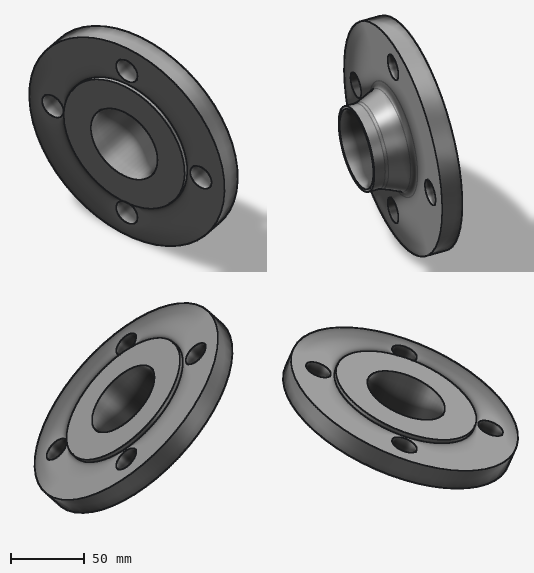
import cadquery as cq

flange_diameter = 165.0
raised_face_diameter = 102.0
raised_face_height = 3.0
flange_thickness = 18.0
total_length = 45.0

pipe_diameter = 60.3
bore_diameter = 56.3
weld_end_length = 9.0
hub_base_diameter = 75.0
hub_base_fillet = 5.0
hub_top_fillet = 6.0

bolt_circle_diameter = 125.0
bolt_hole_diameter = 18.0
bolt_hole_count = 4

selection_margin = 0.1

face_plane = cq.Plane(origin=(0, 0, 0), xDir=(1, 0, 0), normal=(0, 1, 0))


def ring_edges(body, y, radius):
    """Circular edges at the given y position, no larger than the given radius."""
    reach = radius + selection_margin
    return body.edges(cq.selectors.BoxSelector(
        (-reach, y - selection_margin, -reach), (reach, y + selection_margin, reach), boundingbox=True))


def make_body():
    """Raised face, disc, conical hub and weld end as one turned solid."""
    collar_start = total_length - weld_end_length
    profile = [
        (0, 0),
        (0, raised_face_diameter / 2),
        (raised_face_height, raised_face_diameter / 2),
        (raised_face_height, flange_diameter / 2),
        (flange_thickness, flange_diameter / 2),
        (flange_thickness, hub_base_diameter / 2),
        (collar_start, pipe_diameter / 2),
        (total_length, pipe_diameter / 2),
        (total_length, 0),
    ]
    body = cq.Workplane("YZ").polyline(profile).close().revolve(360, (0, 0, 0), (1, 0, 0))
    body = ring_edges(body, flange_thickness, hub_base_diameter / 2).fillet(hub_base_fillet)
    return ring_edges(body, collar_start, pipe_diameter / 2).fillet(hub_top_fillet)


def make_bore():
    """Pipe bore through the whole length."""
    return cq.Workplane(face_plane).circle(bore_diameter / 2).extrude(total_length)


def make_bolt_holes():
    """Evenly spaced through holes on the bolt circle."""
    return (
        cq.Workplane(face_plane)
        .polarArray(bolt_circle_diameter / 2, 0, 360, bolt_hole_count)
        .circle(bolt_hole_diameter / 2)
        .extrude(flange_thickness)
    )


result = make_body().cut(make_bore()).cut(make_bolt_holes())